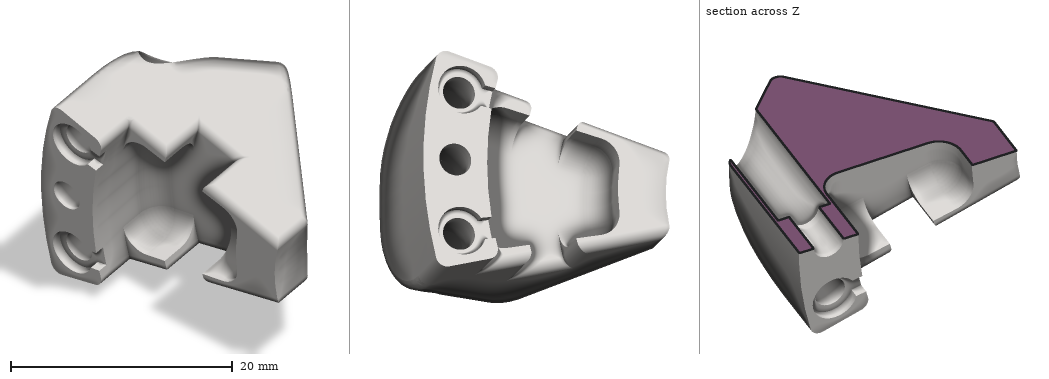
import cadquery as cq
import math

OUTER_RADIUS = 38.0
INNER_RADIUS = 14.0
FOOT_RADIUS = 32.0
NOTCH_OUTER_RADIUS = 27.5
NOTCH_INNER_RADIUS = 23.0
POCKET_INNER_RADIUS = 18.5

SIDE_ANGLE = 15.7
SIDE_HALF_HEIGHT = 10.86

STEP_Y = 3.95
CEILING_Y = 8.5
SHOULDER_Y = 14.17
RIDGE_X = 9.21
RIDGE_Y = SHOULDER_Y + RIDGE_X

ROOF_SIDE_FILLET = 6.5
EDGE_FILLET = 1.0

POCKET_SIDE_ANGLE = 13.0
POCKET_HALF_HEIGHT = 8.7
POCKET_FILLET = 2.2

BOLT_CIRCLE_RADIUS = 35.0
BOLT_PITCH_ANGLE = 11.0
BOLT_DIAMETER = 3.0
HEAD_DIAMETER = 5.2
HEAD_SEAT_Y = 5.0

RECESS_DIAMETER = 4.5
RECESS_DEPTH = 1.0
RECESS_SLOT_WIDTH = 2.0

OVERCUT = 1.0
TOLERANCE = 0.01
XZ_PLANE = cq.Plane(origin=(0, 0, 0), xDir=(1, 0, 0), normal=(0, -1, 0))


def raise_prism(outline, y_low, y_high):
    """Extrude an outline drawn in X and Z between two heights along Y."""
    return outline.extrude(y_low - y_high).translate((0, y_low, 0))


def cylinder(x, z, radius, y_low, y_high):
    outline = cq.Workplane(XZ_PLANE).center(x, z).circle(radius)
    return raise_prism(outline, y_low, y_high)


def ring(outer_radius, inner_radius, y_low, y_high):
    outline = cq.Workplane(XZ_PLANE).center(OUTER_RADIUS, 0).circle(outer_radius).circle(inner_radius)
    return raise_prism(outline, y_low, y_high)


def wedge(half_height, angle, y_low, y_high):
    """Triangular prism whose two walls close in on each other along +X."""
    tip_x = half_height / math.tan(math.radians(angle))
    outline = cq.Workplane(XZ_PLANE).polyline([(0, -half_height), (tip_x, 0), (0, half_height)]).close()
    return raise_prism(outline, y_low, y_high)


def keep_edges(solid, wanted):
    return solid.newObject([edge for edge in solid.val().Edges() if wanted(edge)])


def roofed_sector():
    """Sector between the curved walls under two roof planes, the left one rounded into the sides."""
    sector = ring(OUTER_RADIUS, INNER_RADIUS, 0, RIDGE_Y)
    sector = sector.intersect(wedge(SIDE_HALF_HEIGHT, SIDE_ANGLE, 0, RIDGE_Y))
    profile = [(0, 0), (0, SHOULDER_Y), (RIDGE_X, RIDGE_Y), (RIDGE_X + RIDGE_Y, 0)]
    roof = cq.Workplane("XY").polyline(profile).close().extrude(SIDE_HALF_HEIGHT, both=True)
    sector = sector.intersect(roof)

    def joins_left_roof_to_side(edge):
        middle = edge.Center()
        on_left_roof = middle.x < RIDGE_X - TOLERANCE and middle.y > SHOULDER_Y
        return on_left_roof and edge.geomType() == "LINE"

    return keep_edges(sector, joins_left_roof_to_side).fillet(ROOF_SIDE_FILLET)


def cut_step_and_notch(body):
    body = body.cut(ring(FOOT_RADIUS, INNER_RADIUS - OVERCUT, -OVERCUT, STEP_Y))
    return body.cut(ring(NOTCH_OUTER_RADIUS, NOTCH_INNER_RADIUS, -OVERCUT, CEILING_Y))


def round_outer_edges(body):
    """Round the rims of both side walls, the top of the outer wall and the ridge."""

    def lies_on_side_wall(edge):
        start = edge.startPoint()
        end = edge.endPoint()
        slope = math.tan(math.radians(SIDE_ANGLE))
        return all(
            abs(abs(point.z) + slope * point.x - SIDE_HALF_HEIGHT) < TOLERANCE
            for point in (start, end, edge.positionAt(0.5)))

    def bounds_left_roof_fillet(edge):
        run = edge.endPoint() - edge.startPoint()
        return edge.geomType() == "LINE" and abs(run.x - run.y) < TOLERANCE and abs(run.y) > OVERCUT

    def is_rounded(edge):
        middle = edge.Center()
        if middle.y < TOLERANCE or bounds_left_roof_fillet(edge):
            return False
        on_outer_rim = edge.geomType() in ("ELLIPSE", "BSPLINE") and middle.x < RIDGE_X
        on_ridge = middle.y > SHOULDER_Y and middle.x > RIDGE_X - TOLERANCE
        return lies_on_side_wall(edge) or on_outer_rim or on_ridge

    return keep_edges(body, is_rounded).fillet(EDGE_FILLET)


def pocket():
    """Cutter for the hollow under the body, rounded at its corners and ceiling."""
    block = ring(FOOT_RADIUS, POCKET_INNER_RADIUS, 0, CEILING_Y)
    block = block.intersect(wedge(POCKET_HALF_HEIGHT, POCKET_SIDE_ANGLE, 0, CEILING_Y))
    return block.edges("|Y").fillet(POCKET_FILLET).faces(">Y").edges().fillet(POCKET_FILLET)


def bolt_hole(angle):
    x = OUTER_RADIUS - BOLT_CIRCLE_RADIUS * math.cos(math.radians(angle))
    z = BOLT_CIRCLE_RADIUS * math.sin(math.radians(angle))
    shank = cylinder(x, z, BOLT_DIAMETER / 2, -OVERCUT, RIDGE_Y)
    head = cylinder(x, z, HEAD_DIAMETER / 2, HEAD_SEAT_Y, RIDGE_Y)
    return shank.union(head)


def foot_recess(angle):
    """Shallow round recess with a slot that leads inwards to the foot's inner wall."""
    middle_x = OUTER_RADIUS - BOLT_CIRCLE_RADIUS
    disc = cylinder(middle_x, 0, RECESS_DIAMETER / 2, -OVERCUT, RECESS_DEPTH)
    slot_length = BOLT_CIRCLE_RADIUS - FOOT_RADIUS + OVERCUT
    slot_outline = cq.Workplane(XZ_PLANE).center(middle_x + slot_length / 2, 0)
    slot = raise_prism(slot_outline.rect(slot_length, RECESS_SLOT_WIDTH), -OVERCUT, RECESS_DEPTH)
    return disc.union(slot).rotate((OUTER_RADIUS, 0, 0), (OUTER_RADIUS, 1, 0), angle)


result = round_outer_edges(cut_step_and_notch(roofed_sector())).cut(pocket())
for side in (-1, 0, 1):
    result = result.cut(bolt_hole(side * BOLT_PITCH_ANGLE))
for side in (-1, 1):
    result = result.cut(foot_recess(side * BOLT_PITCH_ANGLE))